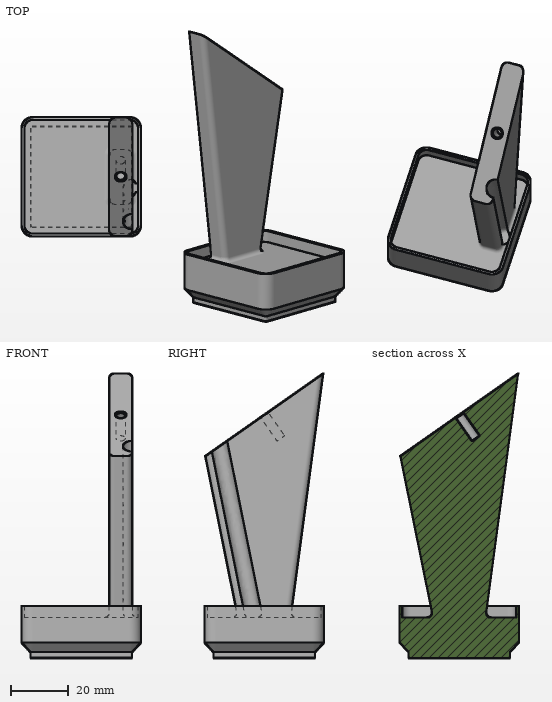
import math

import cadquery as cq

BASE_SIZE = 41.5
BASE_CORNER_RADIUS = 4.0
BASE_HEIGHT = 18.2
WALL_THICKNESS = 1.0
FLOOR_HEIGHT = 14.2

FOOT_INSET = 3.1
FOOT_SIZE = BASE_SIZE - 2 * FOOT_INSET
FOOT_HEIGHT = 2.1
FOOT_CORNER_RADIUS = 0.6
FOOT_EDGE_CHAMFER = 0.3
FLARE_TOP = 5.4

BLADE_THICKNESS = 8.0
BLADE_CENTER_X = 13.7
BLADE_RIGHT_X = BLADE_CENTER_X + BLADE_THICKNESS / 2
BLADE_EDGE_RADIUS = 2.0
BLADE_FOOT_HALF_WIDTH = 9.2
BLADE_FOOT_FILLET = 1.55
PEAK_Y = 20.5
PEAK_HEIGHT = 98.84
FRONT_TIP_Y = -20.5
FRONT_TIP_HEIGHT = 70.1
SLOPE_ANGLE = math.atan2(PEAK_HEIGHT - FRONT_TIP_HEIGHT, PEAK_Y - FRONT_TIP_Y)

HOLE_Y = 0.0
HOLE_DIAMETER = 3.2
HOLE_RIM_DIAMETER = 4.0
HOLE_DEPTH = 10.0

GROOVE_DIAMETER = 6.5
GROOVE_DEPTH = 3.2
GROOVE_TOP_Y = -15.55

PICK_MARGIN = 0.1


def slope_height(y):
    """Height of the blade's sloped top at a given Y."""
    return PEAK_HEIGHT - (PEAK_Y - y) * math.tan(SLOPE_ANGLE)


def rounded_square(size, radius, bottom, top):
    block = cq.Workplane("XY", origin=(0, 0, bottom)).rect(size, size).extrude(top - bottom)
    return block.edges("|Z").fillet(radius)


def rounded_profile(size, radius, height):
    profile = cq.Sketch().rect(size, size).vertices().fillet(radius)
    return profile.moved(cq.Location(cq.Vector(0, 0, height)))


def make_base():
    foot = rounded_square(FOOT_SIZE, FOOT_CORNER_RADIUS, 0, FOOT_HEIGHT)
    foot = foot.faces("<Z").edges().chamfer(FOOT_EDGE_CHAMFER)
    flare_bottom = rounded_profile(FOOT_SIZE, FOOT_CORNER_RADIUS, FOOT_HEIGHT)
    flare_top = rounded_profile(BASE_SIZE, BASE_CORNER_RADIUS, FLARE_TOP)
    flare = cq.Workplane("XY").placeSketch(flare_bottom, flare_top).loft()
    body = rounded_square(BASE_SIZE, BASE_CORNER_RADIUS, FLARE_TOP, BASE_HEIGHT)
    recess_size = BASE_SIZE - 2 * WALL_THICKNESS
    recess_radius = BASE_CORNER_RADIUS - WALL_THICKNESS
    recess = rounded_square(recess_size, recess_radius, FLOOR_HEIGHT, BASE_HEIGHT)
    return foot.union(flare).union(body).cut(recess)


def make_blade():
    outline = [
        (-BLADE_FOOT_HALF_WIDTH, FLOOR_HEIGHT),
        (BLADE_FOOT_HALF_WIDTH, FLOOR_HEIGHT),
        (PEAK_Y, PEAK_HEIGHT),
        (FRONT_TIP_Y, FRONT_TIP_HEIGHT),
    ]
    blade = (
        cq.Workplane("YZ", origin=(BLADE_CENTER_X, 0, 0))
        .polyline(outline)
        .close()
        .extrude(BLADE_THICKNESS / 2, both=True)
    )
    long_edges = blade.faces("<Y or >Y").edges("not |X")
    return long_edges.fillet(BLADE_EDGE_RADIUS)


def make_groove():
    """Circle lying in the sloped top, swept down the blade parallel to its front edge."""
    radius = GROOVE_DIAMETER / 2
    top_height = slope_height(GROOVE_TOP_Y)
    mouth_plane = cq.Plane(
        origin=(BLADE_RIGHT_X - GROOVE_DEPTH + radius, GROOVE_TOP_Y, top_height),
        xDir=(1, 0, 0),
        normal=(0, -math.sin(SLOPE_ANGLE), math.cos(SLOPE_ANGLE)),
    )
    mouth = cq.Workplane(mouth_plane).circle(radius).wires().val()
    drop = top_height - FLOOR_HEIGHT + GROOVE_DIAMETER
    front_lean = (-BLADE_FOOT_HALF_WIDTH - FRONT_TIP_Y) / (FRONT_TIP_HEIGHT - FLOOR_HEIGHT)
    descent = cq.Vector(0, front_lean * drop, -drop)
    return cq.Workplane(cq.Solid.extrudeLinear(mouth, [], descent))


def make_hole():
    mouth = cq.Vector(BLADE_CENTER_X, HOLE_Y, slope_height(HOLE_Y))
    inward = cq.Vector(0, math.sin(SLOPE_ANGLE), -math.cos(SLOPE_ANGLE))
    rim_depth = (HOLE_RIM_DIAMETER - HOLE_DIAMETER) / 2
    bore = cq.Solid.makeCylinder(HOLE_DIAMETER / 2, HOLE_DEPTH, mouth, inward)
    rim = cq.Solid.makeCone(HOLE_RIM_DIAMETER / 2, HOLE_DIAMETER / 2, rim_depth, mouth, inward)
    return cq.Workplane(bore).union(cq.Workplane(rim))


def fillet_blade_foot(part):
    blade_left_x = BLADE_CENTER_X - BLADE_THICKNESS / 2
    foot_region = cq.selectors.BoxSelector(
        (blade_left_x - PICK_MARGIN, -BLADE_FOOT_HALF_WIDTH - PICK_MARGIN, FLOOR_HEIGHT - PICK_MARGIN),
        (BLADE_RIGHT_X + PICK_MARGIN, BLADE_FOOT_HALF_WIDTH + PICK_MARGIN, FLOOR_HEIGHT + PICK_MARGIN),
    )
    return part.edges(foot_region).fillet(BLADE_FOOT_FILLET)


grooved_blade = make_blade().cut(make_groove())
holder = fillet_blade_foot(make_base().union(grooved_blade))
result = holder.cut(make_hole())